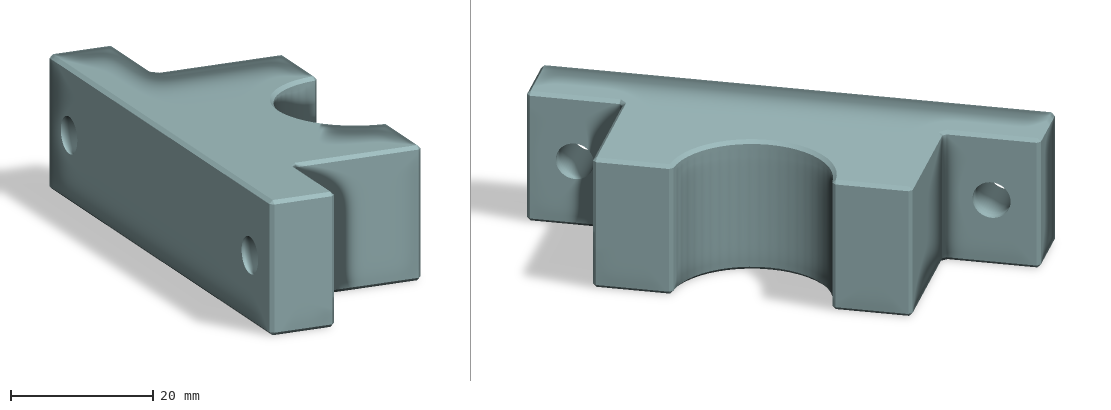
import cadquery as cq
import math

length = 74.0
depth = 30.0
height = 20.0
flange_thickness = 10.0
block_width = 46.0
saddle_radius = 11.5
saddle_depth = 11.1
edge_chamfer = 0.5
hole_diameter = 5.5
hole_spacing = 60.0


def make_body():
    """T-shaped plan with a round saddle in its back face."""
    half_length = length / 2
    half_block = block_width / 2
    half_mouth = math.sqrt(saddle_radius**2 - (saddle_radius - saddle_depth) ** 2)
    return (
        cq.Workplane("XY")
        .moveTo(-half_length, 0)
        .lineTo(half_length, 0)
        .lineTo(half_length, flange_thickness)
        .lineTo(half_block, flange_thickness)
        .lineTo(half_block, depth)
        .lineTo(half_mouth, depth)
        .threePointArc((0, depth - saddle_depth), (-half_mouth, depth))
        .lineTo(-half_block, depth)
        .lineTo(-half_block, flange_thickness)
        .lineTo(-half_length, flange_thickness)
        .close()
        .extrude(height)
    )


def make_bolt_holes():
    """Cylinders through the flange, one on each side of the block."""
    return (
        cq.Workplane("XZ", origin=(0, 0, height / 2))
        .pushPoints([(-hole_spacing / 2, 0), (hole_spacing / 2, 0)])
        .circle(hole_diameter / 2)
        .extrude(-flange_thickness)
    )


result = make_body().edges().chamfer(edge_chamfer).cut(make_bolt_holes())